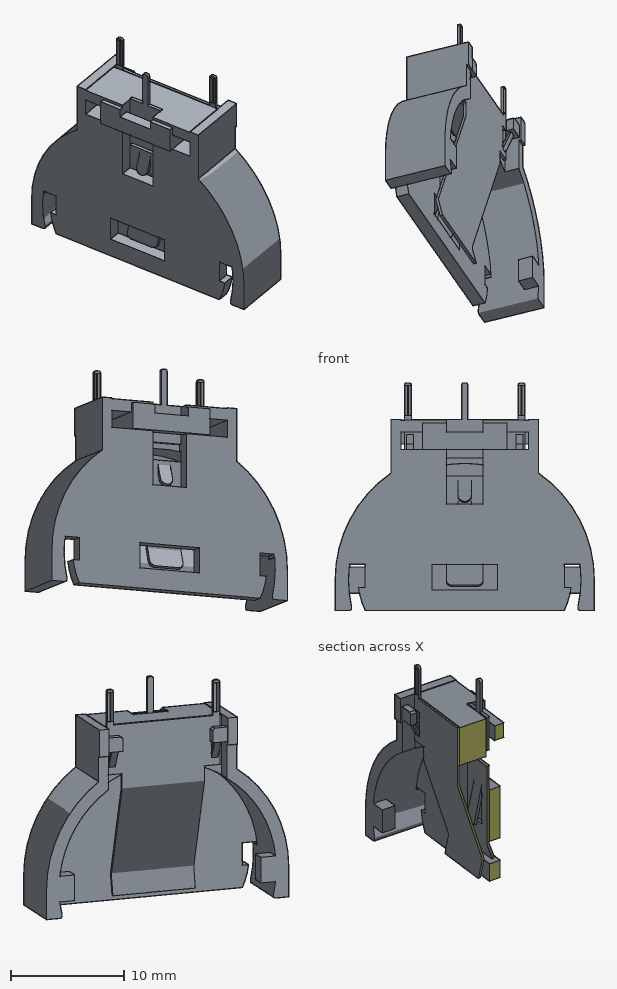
import cadquery as cq
import math


HOUSING_RADIUS = 11.45
CELL_RADIUS = 10.25
CELL_CENTRE_Z = 2.73
FRONT_WALL = 1.15
BODY_REAR = 5.7
NECK_HALF_WIDTH = 6.53
NECK_TOP = 16.88
NECK_SIDE_BOTTOM = 14.4
NECK_REAR = 5.9
CHANNEL_HALF_WIDTH = 5.6
BLOCK_TOP = 16.8
BLOCK_REAR = 4.35

GUIDE_HALF_WIDTH = 3.73
GUIDE_FRONT = -0.4
GUIDE_TOP = 16.55
BRIDGE_BACK = 0.6
TUNNEL_BOTTOM = 14.22
TUNNEL_TOP = 15.75

TAB_FRONT = 5.1
TAB_REAR = 5.75
TAB_BOTTOM = 14.7
TAB_TOP = 16.03
TAB_INNER_X = 4.24
TAB_CHAMFER = 0.18

SLOT_BOTTOM = 9.4
SLOT_BACK = 1.5
WINDOW_HALF_WIDTH = 2.9
WINDOW_BOTTOM = 1.8
WINDOW_TOP = 4.08
CLIP_SLOT_INNER_X = 8.8
CLIP_SLOT_OUTER_X = 10.15
CLIP_STEP_X = 9.4
CLIP_STEP_Z = 2.04
CLIP_CURVE_X = 9.2
CLIP_CURVE_Z = 1.1
CLIP_BULGE_TOP = 3.78
LEG_TIP_X = 9.98
LEG_TIP_HEIGHT = 0.66
LEG_TIP_RADIUS = 0.2

LIP_OUTER_X = 10.53
LIP_BOTTOM = 1.5
LIP_TOP = 3.85

PIN_TOP = 20.1

CENTRE_HALF_WIDTH = 1.63
CENTRE_SHEET = 0.3
TERMINAL_BOTTOM = 13.47
CENTRE_PIN_WIDTH = 0.57
CENTRE_PIN_ROUNDING = 0.2

CONTACT_TOP = 11.89
CONTACT_TILT = 20.0
CONTACT_BEND_Z = 3.87
CONTACT_FOOT_LENGTH = 1.75
CONTACT_FOOT_ROUNDING = 0.5
CONTACT_BEND_RADIUS = 0.23
EDGE_REACH = 0.05
CONTACT_BARB_WIDTH = 1.2
CONTACT_BARB_ROOT_Z = 11.45
CONTACT_BARB_LENGTH = 1.92
CONTACT_BARB_ROUNDING = 0.57
LEAF_ROOT_Z = 9.62
LEAF_LENGTH = 3.98
LEAF_TILT = 12.2

SPRING_SHEET = 0.25
SPRING_HEAD_HALF_WIDTH = 5.34
SPRING_HEAD_BOTTOM = 12.37
SPRING_ARM_HALF_WIDTH = 3.9
SPRING_BEND_Z = 11.0
SPRING_NOSE_TOP = 2.63
SPRING_NOSE_BOTTOM = 2.4
SPRING_NOSE_BULGE = 0.015
SPRING_TIP_Z = 0.69
SPRING_TILT = math.tan(math.radians(17.5))
SPRING_TIP_TILT = math.tan(math.radians(12.2))
SPRING_BARB_TILT = math.tan(math.radians(26.0))
SPRING_BARB_X = 4.85
SPRING_BARB_WIDTH = 0.62
SPRING_BARB_ROOT_Z = 13.05
SPRING_BARB_TIP_Z = TAB_BOTTOM
SPRING_BARB_HOLE_TOP = 15.53
SPRING_PIN_WIDTH = 0.65
SPRING_PIN_ROUNDING = 0.23
BEAD_WIDTH = 0.5
BEAD_FLOOR_WIDTH = 0.1
BEAD_DEPTH = 0.1
BEAD_BOTTOM = 17.22
BEAD_TOP = 19.85


def box(x_range, y_range, z_range):
    """Box between the given limits along each axis."""
    spans = [high - low for low, high in (x_range, y_range, z_range)]
    return cq.Workplane("XY").box(*spans, centered=False).translate(
        (x_range[0], y_range[0], z_range[0])
    )


def centred_box(half_width, y_range, z_range):
    """Box that is symmetric about X = 0."""
    return box((-half_width, half_width), y_range, z_range)


def extrude_along_y(outline, y_range):
    """Extrude an outline, drawn in X and Z, between two Y positions."""
    depth = y_range[1] - y_range[0]
    return outline.extrude(-depth).translate((0, y_range[0], 0))


def extrude_along_x(points, half_width):
    """Extrude a polygon of (Y, Z) points symmetrically about X = 0."""
    return cq.Workplane("YZ").polyline(points).close().extrude(half_width, both=True)


def both_sides(shape):
    """The shape together with its mirror image across X = 0."""
    return shape.union(shape.mirror("YZ"))


def housing_blank():
    shoulder_z = CELL_CENTRE_Z + math.sqrt(HOUSING_RADIUS**2 - NECK_HALF_WIDTH**2)
    mid_angle = (math.asin(NECK_HALF_WIDTH / HOUSING_RADIUS) + math.pi / 2) / 2
    mid_x = HOUSING_RADIUS * math.sin(mid_angle)
    mid_z = CELL_CENTRE_Z + HOUSING_RADIUS * math.cos(mid_angle)
    outline = (
        cq.Workplane("XZ")
        .moveTo(-HOUSING_RADIUS, 0)
        .lineTo(HOUSING_RADIUS, 0)
        .lineTo(HOUSING_RADIUS, CELL_CENTRE_Z)
        .threePointArc((mid_x, mid_z), (NECK_HALF_WIDTH, shoulder_z))
        .lineTo(NECK_HALF_WIDTH, NECK_TOP)
        .lineTo(-NECK_HALF_WIDTH, NECK_TOP)
        .lineTo(-NECK_HALF_WIDTH, shoulder_z)
        .threePointArc((-mid_x, mid_z), (-HOUSING_RADIUS, CELL_CENTRE_Z))
        .close()
    )
    neck_sides = centred_box(NECK_HALF_WIDTH, (BLOCK_REAR, NECK_REAR), (NECK_SIDE_BOTTOM, NECK_TOP))
    return extrude_along_y(outline, (0, BODY_REAR)).union(neck_sides)


def cell_disc(y_range):
    """Round space of the cell between two Y positions."""
    return extrude_along_y(cq.Workplane("XZ").center(0, CELL_CENTRE_Z).circle(CELL_RADIUS), y_range)


def neck_channel():
    """Space behind the block and the small step above it."""
    behind = centred_box(CHANNEL_HALF_WIDTH, (BLOCK_REAR, NECK_REAR), (0, NECK_TOP))
    above = centred_box(CHANNEL_HALF_WIDTH, (0, NECK_REAR), (BLOCK_TOP, NECK_TOP))
    return behind.union(above)


def contact_slot():
    return centred_box(CENTRE_HALF_WIDTH, (0, SLOT_BACK), (SLOT_BOTTOM, NECK_TOP))


def side_tunnels():
    tunnel = box((GUIDE_HALF_WIDTH, CHANNEL_HALF_WIDTH), (0, BLOCK_REAR), (TUNNEL_BOTTOM, TUNNEL_TOP))
    return both_sides(tunnel)


def clip_slots():
    """Openings that part the legs from the front wall."""
    wall_y = (0, FRONT_WALL)
    upper = box((CLIP_SLOT_INNER_X, CLIP_SLOT_OUTER_X), wall_y, (CLIP_STEP_Z, WINDOW_TOP))
    outline = (
        cq.Workplane("XZ")
        .moveTo(CLIP_SLOT_INNER_X, 0)
        .threePointArc((CLIP_CURVE_X, CLIP_CURVE_Z), (CLIP_STEP_X, CLIP_STEP_Z))
        .lineTo(CLIP_STEP_X, CLIP_BULGE_TOP)
        .lineTo(HOUSING_RADIUS, CLIP_BULGE_TOP)
        .lineTo(HOUSING_RADIUS, 0)
        .close()
    )
    lower = extrude_along_y(outline, wall_y).intersect(cell_disc(wall_y))
    return both_sides(upper.union(lower))


def leg_tip_relief():
    """Widening at the leg ends, with a rounded corner on each leg."""
    straight = box((CLIP_STEP_X, LEG_TIP_X), (0, BODY_REAR), (0, LEG_TIP_HEIGHT))
    corner = box((LEG_TIP_X, LEG_TIP_X + LEG_TIP_RADIUS), (0, BODY_REAR), (0, LEG_TIP_RADIUS))
    rounding = extrude_along_y(
        cq.Workplane("XZ").center(LEG_TIP_X + LEG_TIP_RADIUS, LEG_TIP_RADIUS).circle(LEG_TIP_RADIUS),
        (0, BODY_REAR),
    )
    return both_sides(straight.union(corner.cut(rounding)))


def guide_plate():
    plate = centred_box(GUIDE_HALF_WIDTH, (GUIDE_FRONT, 0), (TUNNEL_BOTTOM, GUIDE_TOP))
    notch = centred_box(CENTRE_HALF_WIDTH, (GUIDE_FRONT, 0), (TUNNEL_TOP, GUIDE_TOP))
    bridge = centred_box(CENTRE_HALF_WIDTH, (GUIDE_FRONT, BRIDGE_BACK), (TUNNEL_BOTTOM, TUNNEL_TOP))
    return plate.cut(notch).union(bridge)


def catch_tabs():
    tab = box((TAB_INNER_X, CHANNEL_HALF_WIDTH), (TAB_FRONT, TAB_REAR), (TAB_BOTTOM, TAB_TOP))
    return both_sides(tab.edges("<X and >Z").chamfer(TAB_CHAMFER))


def cell_lips():
    lip = box((CLIP_SLOT_INNER_X, LIP_OUTER_X), (BLOCK_REAR, BODY_REAR), (LIP_BOTTOM, LIP_TOP))
    return both_sides(lip)


def make_housing():
    window = centred_box(WINDOW_HALF_WIDTH, (0, FRONT_WALL), (WINDOW_BOTTOM, WINDOW_TOP))
    cut_body = (
        housing_blank()
        .cut(cell_disc((FRONT_WALL, BODY_REAR)))
        .cut(neck_channel())
        .cut(contact_slot())
        .cut(side_tunnels())
        .cut(window)
        .cut(clip_slots())
        .cut(leg_tip_relief())
    )
    return cut_body.union(guide_plate()).union(catch_tabs()).union(cell_lips())


def make_centre_terminal():
    sheet_y = (FRONT_WALL, FRONT_WALL + CENTRE_SHEET)
    plate = centred_box(CENTRE_HALF_WIDTH, sheet_y, (TERMINAL_BOTTOM, NECK_TOP))
    pin = centred_box(CENTRE_PIN_WIDTH / 2, sheet_y, (NECK_TOP, PIN_TOP))
    pin = pin.edges("|Y and >Z").fillet(CENTRE_PIN_ROUNDING)
    return plate.union(pin)


def leaning_strip(half_width, length, root_z, tilt, rounding=0.0):
    """Strip of contact sheet turned about its front root edge; a positive tilt leans forward."""
    strip = centred_box(half_width, (0, CENTRE_SHEET), (-length, 0))
    if rounding > 0:
        strip = strip.edges("|Y and <Z").fillet(rounding)
    return strip.rotate((0, 0, 0), (1, 0, 0), -tilt).translate((0, FRONT_WALL, root_z))


def foot_bend():
    """Outer round of the bend between the sheet and the foot."""
    round_bar = (
        cq.Workplane("YZ")
        .center(FRONT_WALL, CONTACT_BEND_Z)
        .circle(CENTRE_SHEET)
        .extrude(CENTRE_HALF_WIDTH, both=True)
    )
    rear_y = (FRONT_WALL, FRONT_WALL + CENTRE_SHEET)
    z_range = (CONTACT_BEND_Z - CENTRE_SHEET, CONTACT_BEND_Z + CENTRE_SHEET)
    return round_bar.intersect(centred_box(CENTRE_HALF_WIDTH, rear_y, z_range))


def ease_root(contact, root_z):
    """Round the inner corner where a strip leaves the front of the sheet."""
    corner = cq.selectors.BoxSelector(
        (-CENTRE_HALF_WIDTH - EDGE_REACH, FRONT_WALL - EDGE_REACH, root_z - EDGE_REACH),
        (CENTRE_HALF_WIDTH + EDGE_REACH, FRONT_WALL + EDGE_REACH, root_z + EDGE_REACH),
        boundingbox=True,
    )
    return contact.edges(corner).edges("|X").fillet(CONTACT_BEND_RADIUS)


def make_cell_contact():
    sheet_y = (FRONT_WALL, FRONT_WALL + CENTRE_SHEET)
    barb_half = CONTACT_BARB_WIDTH / 2
    plate = centred_box(CENTRE_HALF_WIDTH, sheet_y, (CONTACT_BEND_Z, CONTACT_TOP))
    leaf_opening = centred_box(barb_half, sheet_y, (LEAF_ROOT_Z - LEAF_LENGTH, LEAF_ROOT_Z))
    leaf = leaning_strip(barb_half, LEAF_LENGTH, LEAF_ROOT_Z, -LEAF_TILT)
    foot = leaning_strip(
        CENTRE_HALF_WIDTH, CONTACT_FOOT_LENGTH, CONTACT_BEND_Z, CONTACT_TILT, CONTACT_FOOT_ROUNDING
    )
    barb = leaning_strip(
        barb_half, CONTACT_BARB_LENGTH, CONTACT_BARB_ROOT_Z, CONTACT_TILT, CONTACT_BARB_ROUNDING
    )
    contact = plate.cut(leaf_opening).union(leaf).union(foot).union(foot_bend()).union(barb)
    for root_z in (CONTACT_BEND_Z, CONTACT_BARB_ROOT_Z):
        contact = ease_root(contact, root_z)
    return contact


def spring_barb(centre_x):
    tip_y = BLOCK_REAR + (SPRING_BARB_TIP_Z - SPRING_BARB_ROOT_Z) * SPRING_BARB_TILT
    points = [
        (BLOCK_REAR, SPRING_BARB_ROOT_Z),
        (tip_y, SPRING_BARB_TIP_Z),
        (tip_y + SPRING_SHEET, SPRING_BARB_TIP_Z),
        (BLOCK_REAR + SPRING_SHEET, SPRING_BARB_ROOT_Z),
    ]
    return extrude_along_x(points, SPRING_BARB_WIDTH / 2).translate((centre_x, 0, 0))


def spring_pin(side):
    """Flat pin with a pressed bead: hollow in front and raised behind."""
    centre_x = side * (SPRING_HEAD_HALF_WIDTH - SPRING_PIN_WIDTH / 2)
    sheet_y = (BLOCK_REAR, BLOCK_REAR + SPRING_SHEET)
    blade = centred_box(SPRING_PIN_WIDTH / 2, sheet_y, (NECK_TOP, PIN_TOP))
    blade = blade.edges("|Y and >Z").fillet(SPRING_PIN_ROUNDING)

    def bead(base_y):
        return (
            cq.Workplane("XY", origin=(0, base_y, BEAD_BOTTOM))
            .moveTo(-BEAD_WIDTH / 2, 0)
            .lineTo(-BEAD_FLOOR_WIDTH / 2, BEAD_DEPTH)
            .lineTo(BEAD_FLOOR_WIDTH / 2, BEAD_DEPTH)
            .lineTo(BEAD_WIDTH / 2, 0)
            .close()
            .extrude(BEAD_TOP - BEAD_BOTTOM)
        )

    return blade.cut(bead(sheet_y[0])).union(bead(sheet_y[1])).translate((centre_x, 0, 0))


def spring_arm():
    """Arm that slants to a rounded nose and turns back below it."""
    nose_end_y = BLOCK_REAR - (SPRING_BEND_Z - SPRING_NOSE_TOP) * SPRING_TILT
    nose_z = (SPRING_NOSE_TOP + SPRING_NOSE_BOTTOM) / 2
    nose_y = nose_end_y - SPRING_NOSE_BULGE
    tip_y = nose_end_y + (SPRING_NOSE_BOTTOM - SPRING_TIP_Z) * SPRING_TIP_TILT
    return (
        cq.Workplane("YZ")
        .moveTo(BLOCK_REAR, SPRING_HEAD_BOTTOM)
        .lineTo(BLOCK_REAR, SPRING_BEND_Z)
        .lineTo(nose_end_y, SPRING_NOSE_TOP)
        .threePointArc((nose_y, nose_z), (nose_end_y, SPRING_NOSE_BOTTOM))
        .lineTo(tip_y, SPRING_TIP_Z)
        .lineTo(tip_y + SPRING_SHEET, SPRING_TIP_Z)
        .lineTo(nose_end_y + SPRING_SHEET, SPRING_NOSE_BOTTOM)
        .lineTo(nose_end_y + SPRING_SHEET, SPRING_NOSE_TOP)
        .lineTo(BLOCK_REAR + SPRING_SHEET, SPRING_BEND_Z)
        .lineTo(BLOCK_REAR + SPRING_SHEET, SPRING_HEAD_BOTTOM)
        .close()
        .extrude(SPRING_ARM_HALF_WIDTH, both=True)
    )


def make_cell_spring():
    sheet_y = (BLOCK_REAR, BLOCK_REAR + SPRING_SHEET)
    head = centred_box(SPRING_HEAD_HALF_WIDTH, sheet_y, (SPRING_HEAD_BOTTOM, NECK_TOP))
    spring = head.union(spring_arm())
    for side in (-1, 1):
        barb_x = side * SPRING_BARB_X
        barb_sides = (barb_x - SPRING_BARB_WIDTH / 2, barb_x + SPRING_BARB_WIDTH / 2)
        hole = box(barb_sides, sheet_y, (SPRING_BARB_ROOT_Z, SPRING_BARB_HOLE_TOP))
        spring = spring.cut(hole).union(spring_barb(barb_x)).union(spring_pin(side))
    return spring


housing = make_housing()
centre_terminal = make_centre_terminal()
cell_contact = make_cell_contact()
cell_spring = make_cell_spring()

result = cq.Compound.makeCompound(
    [housing.val(), centre_terminal.val(), cell_contact.val(), cell_spring.val()]
)